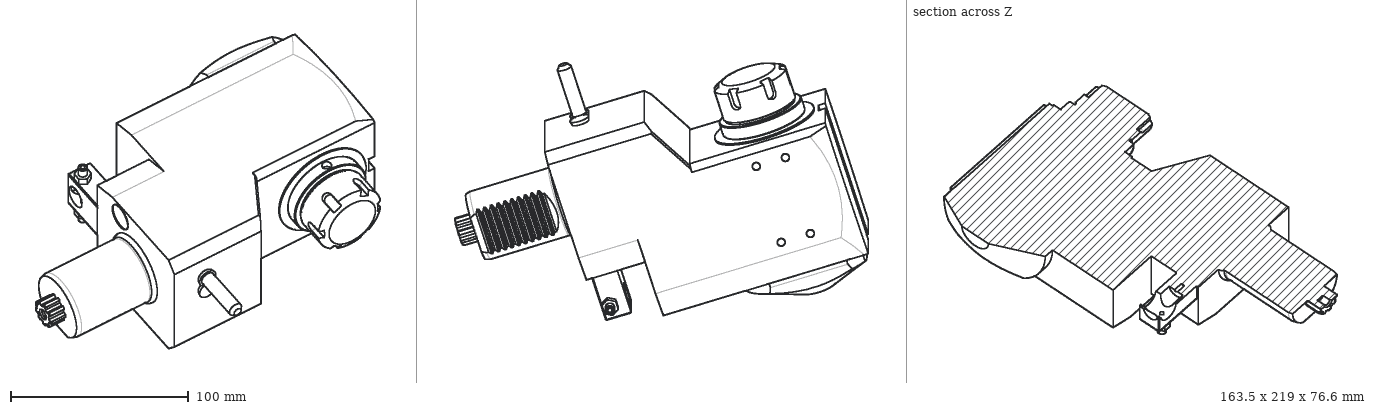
import cadquery as cq
import math


half_height = 37.5
mount_half_width = 39.0
head_left = -72.0
head_right = 8.7
head_front = 35.0
head_back = 156.0
slant_start = 76.0
slant_end = 58.7
slant_edge_break = 1.0
left_bevel_run = 15.0
bevel_angle = 15.0
left_bevel_drop = left_bevel_run * math.tan(math.radians(bevel_angle))
mount_bevel_run = 5.8
mount_bevel_drop = 6.8
head_right_bevel = 4.0
back_slot_height = 10.0
back_slot_depth = 4.0

relief_center_x = -24.8
relief_rim_height = 36.6
relief_radius = 310.0
relief_slope = 0.225
relief_length = 30.0
relief_half_width = 60.0

spindle_y = 120.3
dome_radius = 40.3
dome_tip_radius = 10.0
dome_rim_x = -78.2
dome_tip_x = -92.0
dome_slope_start_x = -74.3
dome_half_height = 33.2
dome_back = 152.2
dome_corner = 8.0
collar_radius = 29.3
collar_end = 9.6
ring_radius = 24.2
ring_end = 17.4
ring_edge_break = 0.5
ring_hole_radius = 2.7
ring_hole_depth = 4.0
neck_radius = 20.5
nut_start = 18.8
nut_end = 39.3
nut_radius = 21.2
nut_face_radius = 15.7
nut_bevel_length = 2.8
nut_slot_count = 6
nut_slot_start = 26.5
nut_slot_width = 5.8
nut_slot_floor = 18.0
cover_x = -26.2
screw_spacing_x = 46.8
screw_spacing_y = 17.2
screw_radius = 2.2
screw_head_height = 0.7
screw_root_z = -36.5
screw_tip_z = -39.1

flange_radius = 21.7
flange_length = 2.8
flange_bulge_radius = 21.4
flange_bulge_y = -1.7
neck_down_radius = 20.2
neck_down_end = 4.0
shank_radius = 20.0
shank_length = 53.0
shank_bevel_length = 2.7
shank_bevel_depth = 0.8
flat_z = -16.2
flat_run_in = 5.1
tooth_count = 10
tooth_pitch = 4.0
first_tooth_y = -11.6
tooth_gap_width = 3.0
tooth_root_width = 0.8
tooth_depth = 1.6
spline_teeth = 9
spline_tip_radius = 8.2
spline_root_radius = 6.3
spline_tip_half_angle = 7.0
spline_root_half_angle = 12.0
spline_length = 10.0
spline_bevel = 0.6
center_hole_radius = 2.4
center_hole_mouth = 3.3
center_hole_depth = 6.0

plug_x = -16.1
plug_z = 27.8
plug_radius = 7.8
plug_recess = 0.6

block_left = -71.2
block_front = 1.4
block_back = 16.4
block_half_height = 12.4
block_edge_break = 0.6
block_bore_x = -63.2
front_bore_radius = 6.5
side_bore_y = 7.9
side_bore_radius = 5.0
side_bore_depth = 22.0
side_channel_radius = 1.3
side_channel_depth = 28.0
stud_y = 6.3
stud_radius = 2.6
stud_end_z = 22.2
stud_edge_break = 0.4
stud_bore_radius = 1.2
hex_across_corners = 9.6
hex_end_z = 16.8

pin_y = 21.1
pin_z = 16.3
pin_radius = 4.1
pin_end = 71.5
pin_bevel_length = 2.2
pin_face_radius = 2.4
cup_spacing = 9.6
cup_base_radius = 5.0
cup_lip_radius = 5.5
cup_length = 2.2


def turned_along_x(profile, y, z):
    """Solid of revolution from (x, radius) points about a line parallel to X."""
    shape = cq.Workplane("XY").polyline(profile).close().revolve(360, (0, 0, 0), (1, 0, 0))
    return shape.translate((0, y, z))


def turned_along_y(profile):
    """Solid of revolution from (radius, y) points about the shank axis."""
    return cq.Workplane("XY").polyline(profile).close().revolve(360, (0, 0, 0), (0, 1, 0))


def extruded_along_y(points, y_start, y_end):
    """Prism from an (x, z) outline between two Y positions."""
    section = cq.Workplane("XZ", origin=(0, y_start, 0)).polyline(points).close()
    return section.extrude(y_start - y_end)


def bevelled_outline(left, right, right_run, right_drop):
    """Body cross section: shallow bevels on the -X side, steeper ones on the +X side."""
    upper = [
        (left, half_height - left_bevel_drop),
        (left + left_bevel_run, half_height),
        (right - right_run, half_height),
        (right, half_height - right_drop),
    ]
    lower = [(x, -z) for x, z in reversed(upper)]
    return upper + lower


def make_mount():
    outline = bevelled_outline(-mount_half_width, mount_half_width, mount_bevel_run, mount_bevel_drop)
    block = extruded_along_y(outline, 0, slant_start)
    plan = [
        (-mount_half_width, 0),
        (mount_half_width, 0),
        (mount_half_width, slant_end),
        (head_right, slant_start),
        (-mount_half_width, slant_start),
    ]
    envelope = cq.Workplane("XY").workplane(offset=-half_height).polyline(plan).close()
    envelope = envelope.extrude(2 * half_height)
    slant_point = ((mount_half_width + head_right) / 2, (slant_end + slant_start) / 2, 0)
    slanted_face = envelope.faces(cq.selectors.NearestToPointSelector(slant_point))
    envelope = slanted_face.edges("#Z").chamfer(slant_edge_break)
    return block.intersect(envelope)


def make_back_relief():
    """Upper cutter: an arched edge at the back face, swept forward and upward."""
    rim_sag = relief_radius - math.sqrt(relief_radius**2 - relief_half_width**2)
    edge_z = relief_rim_height - rim_sag
    clearance_z = half_height + relief_length
    arch = (
        cq.Workplane("XZ", origin=(relief_center_x, head_back, 0))
        .moveTo(-relief_half_width, edge_z)
        .threePointArc((0, relief_rim_height), (relief_half_width, edge_z))
        .lineTo(relief_half_width, clearance_z)
        .lineTo(-relief_half_width, clearance_z)
        .close()
    )
    path = cq.Workplane("YZ", origin=(relief_center_x, 0, 0)).moveTo(head_back, relief_rim_height)
    path = path.lineTo(head_back - relief_length, relief_rim_height + relief_slope * relief_length)
    return arch.sweep(path)


def make_head():
    outline = bevelled_outline(head_left, head_right, head_right_bevel, head_right_bevel)
    head = extruded_along_y(outline, head_front, head_back)
    relief = make_back_relief()
    head = head.cut(relief).cut(relief.mirror("XY"))
    slot = cq.Workplane("XY").box(
        head_right - head_left, back_slot_depth, back_slot_height, centered=(False, False, True)
    )
    return head.cut(slot.translate((head_left, head_back - back_slot_depth, 0)))


def make_dome():
    profile = [
        (head_left, 0),
        (head_left, dome_radius),
        (dome_rim_x, dome_radius),
        (dome_tip_x, dome_tip_radius),
        (dome_tip_x, 0),
    ]
    dome = turned_along_x(profile, spindle_y, 0)
    slope_length = dome_slope_start_x - dome_tip_x
    tip_half_height = dome_half_height - slope_length * math.tan(math.radians(bevel_angle))
    side = [
        (head_left, dome_half_height),
        (dome_slope_start_x, dome_half_height),
        (dome_tip_x, tip_half_height),
    ]
    side += [(x, -z) for x, z in reversed(side)]
    trim = extruded_along_y(side, spindle_y - dome_radius, dome_back)
    corner_z = dome_half_height - dome_corner
    end_outline = [
        (spindle_y - dome_radius, dome_half_height),
        (dome_back - dome_corner, dome_half_height),
        (dome_back, corner_z),
        (dome_back, -corner_z),
        (dome_back - dome_corner, -dome_half_height),
        (spindle_y - dome_radius, -dome_half_height),
    ]
    corners = cq.Workplane("YZ", origin=(dome_tip_x, 0, 0)).polyline(end_outline).close()
    corners = corners.extrude(head_left - dome_tip_x)
    return dome.intersect(trim).intersect(corners)


def make_spindle():
    profile = [
        (0, 0),
        (0, collar_radius),
        (collar_end, collar_radius),
        (collar_end, ring_radius - ring_edge_break),
        (collar_end + ring_edge_break, ring_radius),
        (ring_end - ring_edge_break, ring_radius),
        (ring_end, ring_radius - ring_edge_break),
        (ring_end, neck_radius),
        (nut_start, neck_radius),
        (nut_start, nut_radius),
        (nut_end - nut_bevel_length, nut_radius),
        (nut_end, nut_face_radius),
        (nut_end, 0),
    ]
    spindle = turned_along_x(profile, 0, 0)
    slot_length = nut_end - nut_slot_start
    slot = (
        cq.Workplane("XY", origin=(nut_start, 0, nut_slot_floor))
        .center(nut_end - nut_start, 0)
        .slot2D(2 * slot_length, nut_slot_width)
        .extrude(nut_radius)
    )
    pitch_angle = 360 / nut_slot_count
    for index in range(nut_slot_count):
        angle = (index + 0.5) * pitch_angle
        spindle = spindle.cut(slot.rotate((0, 0, 0), (1, 0, 0), angle))
    ring_hole_x = (collar_end + ring_end) / 2
    ring_hole = cq.Workplane("XY", origin=(ring_hole_x, 0, ring_radius - ring_hole_depth))
    spindle = spindle.cut(ring_hole.circle(ring_hole_radius).extrude(2 * ring_hole_depth))
    return spindle.translate((0, spindle_y, 0))


def make_cover_screws():
    """Four low screw heads with conical tips under the head."""
    profile = [
        (0, screw_root_z),
        (screw_radius, screw_root_z),
        (screw_radius, -half_height - screw_head_height),
        (0, screw_tip_z),
    ]
    screw = cq.Workplane("XZ").polyline(profile).close().revolve(360, (0, 0, 0), (0, 1, 0))
    screws = cq.Workplane("XY")
    for side_x in (-1, 1):
        for side_y in (-1, 1):
            x = cover_x + side_x * screw_spacing_x / 2
            y = spindle_y + side_y * screw_spacing_y / 2
            screws = screws.add(screw.translate((x, y, 0)))
    return screws.combine()


def make_spline():
    pitch_angle = 360 / spline_teeth
    points = []
    for index in range(spline_teeth):
        corners = [
            (spline_root_radius, -spline_root_half_angle),
            (spline_tip_radius, -spline_tip_half_angle),
            (spline_tip_radius, spline_tip_half_angle),
            (spline_root_radius, spline_root_half_angle),
        ]
        for radius, offset in corners:
            angle = math.radians(index * pitch_angle + offset)
            points.append((radius * math.cos(angle), radius * math.sin(angle)))
    end_y = -shank_length - spline_length
    teeth = extruded_along_y(points, -shank_length, end_y)
    envelope = turned_along_y([
        (0, -shank_length),
        (spline_tip_radius, -shank_length),
        (spline_tip_radius, end_y + spline_bevel),
        (spline_tip_radius - spline_bevel, end_y),
        (0, end_y),
    ])
    center_hole = turned_along_y([
        (0, end_y),
        (center_hole_mouth, end_y),
        (center_hole_radius, end_y + center_hole_mouth - center_hole_radius),
        (center_hole_radius, end_y + center_hole_depth),
        (0, end_y + center_hole_depth),
    ])
    return teeth.intersect(envelope).cut(center_hole)


def make_shank():
    shank = turned_along_y([
        (0, 0),
        (neck_down_radius, 0),
        (neck_down_radius, -flange_length),
        (shank_radius, -neck_down_end),
        (shank_radius, shank_bevel_length - shank_length),
        (shank_radius - shank_bevel_depth, -shank_length),
        (0, -shank_length),
    ])
    flange = (
        cq.Workplane("XY")
        .lineTo(flange_radius, 0)
        .threePointArc((flange_bulge_radius, flange_bulge_y), (neck_down_radius, -flange_length))
        .lineTo(0, -flange_length)
        .close()
        .revolve(360, (0, 0, 0), (0, 1, 0))
    )
    shank = shank.union(flange)
    run_out = shank_radius + flat_z
    flat_side = [
        (-flat_run_in, -shank_radius),
        (-flat_run_in - run_out, flat_z),
        (-shank_length, flat_z),
        (-shank_length, -shank_radius),
    ]
    cutter_start = cq.Workplane("YZ", origin=(-shank_radius, 0, 0))
    shank = shank.cut(cutter_start.polyline(flat_side).close().extrude(2 * shank_radius))
    for index in range(tooth_count):
        gap_y = first_tooth_y - index * tooth_pitch
        gap = [
            (gap_y - tooth_gap_width / 2, flat_z),
            (gap_y - tooth_root_width / 2, flat_z + tooth_depth),
            (gap_y + tooth_root_width / 2, flat_z + tooth_depth),
            (gap_y + tooth_gap_width / 2, flat_z),
        ]
        shank = shank.cut(cutter_start.polyline(gap).close().extrude(2 * shank_radius))
    return shank.union(make_spline())


def make_coolant_block():
    length = -mount_half_width - block_left
    block = cq.Workplane("XY").box(
        length, block_back - block_front, 2 * block_half_height, centered=(False, False, True)
    )
    block = block.translate((block_left, block_front, 0))
    block = block.edges("<X or (<Y and |X)").chamfer(block_edge_break)
    hex_nuts = (
        cq.Workplane("XY", origin=(block_bore_x, stud_y, -hex_end_z))
        .polygon(6, hex_across_corners)
        .extrude(2 * hex_end_z)
    )
    studs = (
        cq.Workplane("XY", origin=(block_bore_x, stud_y, -stud_end_z))
        .circle(stud_radius)
        .extrude(2 * stud_end_z)
        .edges()
        .chamfer(stud_edge_break)
    )
    block = block.union(hex_nuts).union(studs)
    front_bore = cq.Workplane("XZ", origin=(block_bore_x, block_front, 0))
    block = block.cut(front_bore.circle(front_bore_radius).extrude(block_front - block_back))
    side_bore = cq.Workplane("YZ", origin=(block_left, side_bore_y, 0))
    block = block.cut(side_bore.circle(side_bore_radius).extrude(side_bore_depth))
    stud_bore = cq.Workplane("XY", origin=(block_bore_x, stud_y, -stud_end_z))
    block = block.cut(stud_bore.circle(stud_bore_radius).extrude(2 * stud_end_z))
    return block.cut(side_bore.circle(side_channel_radius).extrude(side_channel_depth))


def make_pin_and_cups():
    cup_end = mount_half_width + cup_length
    cup_profile = [
        (mount_half_width, 0),
        (mount_half_width, cup_base_radius),
        (cup_end, cup_lip_radius),
        (cup_end, 0),
    ]
    pin_profile = [
        (mount_half_width, 0),
        (mount_half_width, pin_radius),
        (pin_end - pin_bevel_length, pin_radius),
        (pin_end, pin_face_radius),
        (pin_end, 0),
    ]
    cups = turned_along_x(cup_profile, pin_y, pin_z)
    cups = cups.union(turned_along_x(cup_profile, pin_y, pin_z - cup_spacing))
    return cups.union(turned_along_x(pin_profile, pin_y, pin_z))


def make_plug_recess():
    face = cq.Workplane("XZ", origin=(plug_x, 0, plug_z))
    return face.circle(plug_radius).extrude(-plug_recess)


result = make_mount().cut(make_plug_recess())
result = result.union(make_head())
result = result.union(make_dome())
result = result.union(make_spindle())
result = result.union(make_cover_screws())
result = result.union(make_shank())
result = result.union(make_coolant_block())
result = result.union(make_pin_and_cups())